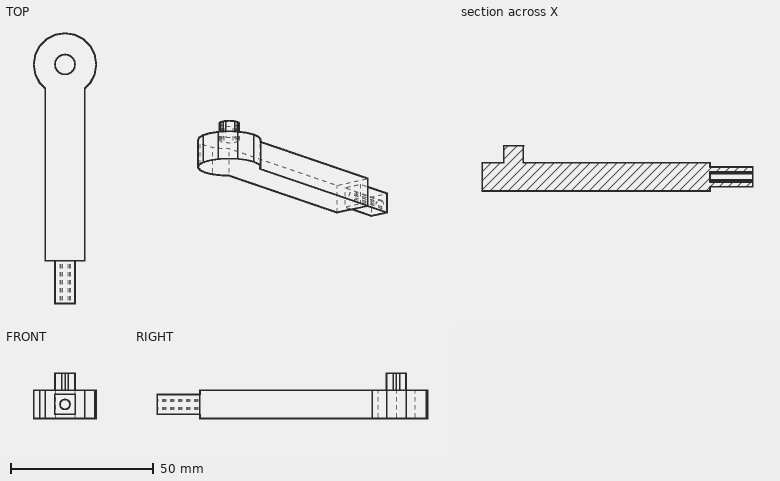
import cadquery as cq

total_length = 95.0
head_diameter = 22.0
body_thickness = 10.0

arm_width = 14.0
tang_size = 7.0
tang_length = 15.0
tang_hole_diameter = 3.5
tang_hole_depth = tang_length

pin_diameter = 7.0
pin_height = 6.0

facet_count = 20

tang_end_y = head_diameter / 2 - total_length
arm_end_y = tang_end_y + tang_length
mid_height = body_thickness / 2


def make_head():
    """Faceted disc around the origin, resting on Z = 0."""
    return cq.Workplane("XY").polygon(facet_count, head_diameter).extrude(body_thickness)


def make_arm():
    """Flat bar from the head centre towards -Y."""
    arm_length = -arm_end_y
    return (
        cq.Workplane("XY")
        .center(0, arm_end_y + arm_length / 2)
        .rect(arm_width, arm_length)
        .extrude(body_thickness)
    )


def make_pin():
    """Upright pin on top of the head."""
    return (
        cq.Workplane("XY")
        .workplane(offset=body_thickness)
        .polygon(facet_count, pin_diameter)
        .extrude(pin_height)
    )


def tang_end_plane():
    """Plane on the free end of the tang, facing into the part along +Y."""
    return cq.Workplane(
        cq.Plane(origin=(0, tang_end_y, mid_height), xDir=(1, 0, 0), normal=(0, 1, 0))
    )


def make_tang():
    """Square tang at the end of the arm, centred in its thickness."""
    return tang_end_plane().rect(tang_size, tang_size).extrude(tang_length)


def make_tang_hole():
    """Blind hole along the tang, as deep as the tang is long."""
    return tang_end_plane().polygon(facet_count, tang_hole_diameter).extrude(tang_hole_depth)


body = make_head().union(make_arm()).union(make_pin()).union(make_tang())
result = body.cut(make_tang_hole())